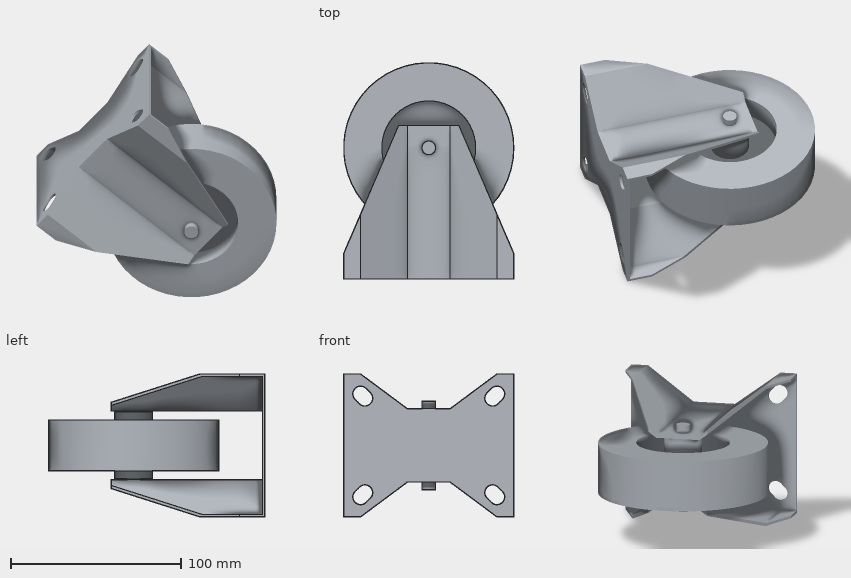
import cadquery as cq
import math

overall_length = 127.0
wheel_radius = 100.0 / 2
axle_to_plate = overall_length - wheel_radius

tread_width = 30.0
recess_radius = 27.5
web_thickness = 3.0
hub_radius = 22.4 / 2
hub_length = 39.4
axle_radius = 8.0 / 2
axle_length = 52.1

half_width = wheel_radius
half_height = 84.0 / 2
sheet_thickness = 1.5
arm_half_height = 21.6
inner_bend_x = 12.6
outer_bend_x = 40.0
arm_tip_y = 13.2
arm_tip_half_width = 17.7
ear_length = 15.0

slot_x = 38.7
slot_z = 29.0
slot_width = 9.0
slot_length = 12.6
slot_angle = 45

plate_y = -axle_to_plate


def cylinder(radius, length):
    """Cylinder about Z, centred on the origin."""
    return cq.Workplane("XY").workplane(offset=-length / 2).circle(radius).extrude(length)


def make_wheel():
    """Wheel with a recess on each side, a long hub and a fixed axle."""
    rim = cylinder(wheel_radius, tread_width).cut(cylinder(recess_radius, tread_width))
    web = cylinder(recess_radius, web_thickness)
    hub = cylinder(hub_radius, hub_length)
    axle = cylinder(axle_radius, axle_length)
    return rim.union(web).union(hub).union(axle)


def sheet_outline(ear_z, arm_z, bend_shift):
    """Bent line of the upper arm across X, with both bends moved outward by bend_shift."""
    inner_x = inner_bend_x + bend_shift
    outer_x = outer_bend_x + bend_shift
    return [
        (-half_width, ear_z),
        (-outer_x, ear_z),
        (-inner_x, arm_z),
        (inner_x, arm_z),
        (outer_x, ear_z),
        (half_width, ear_z),
    ]


def make_arm():
    """Upper arm: a bent sheet section run along Y and trimmed to a taper."""
    slope_angle = math.atan2(half_height - arm_half_height, outer_bend_x - inner_bend_x)
    bend_shift = sheet_thickness * math.tan(slope_angle / 2)
    outer_line = sheet_outline(half_height, arm_half_height, 0)
    inner_line = sheet_outline(
        half_height - sheet_thickness, arm_half_height - sheet_thickness, bend_shift
    )
    section = (
        cq.Workplane("XZ", origin=(0, plate_y, 0))
        .polyline(outer_line + inner_line[::-1])
        .close()
        .extrude(-(axle_to_plate + arm_tip_y))
    )
    taper = (
        cq.Workplane("XY")
        .polyline([
            (-half_width, plate_y),
            (half_width, plate_y),
            (half_width, plate_y + ear_length),
            (arm_tip_half_width, arm_tip_y),
            (-arm_tip_half_width, arm_tip_y),
            (-half_width, plate_y + ear_length),
        ])
        .close()
        .extrude(half_height)
    )
    return section.intersect(taper)


def make_plate():
    """Mounting plate whose waist follows the bends of the arms."""
    upper_outline = sheet_outline(half_height, arm_half_height, 0)
    lower_outline = [(x, -z) for x, z in reversed(upper_outline)]
    return (
        cq.Workplane("XZ", origin=(0, plate_y, 0))
        .polyline(upper_outline + lower_outline)
        .close()
        .extrude(-sheet_thickness)
    )


def make_slots():
    """Cutters for the four slots, one in each corner of the plate."""
    slots = cq.Workplane("XZ", origin=(0, plate_y, 0))
    for x_side in (-1, 1):
        for z_side in (-1, 1):
            slots = slots.add(
                cq.Workplane("XZ", origin=(0, plate_y, 0))
                .center(x_side * slot_x, z_side * slot_z)
                .slot2D(slot_length, slot_width, x_side * z_side * slot_angle)
                .extrude(-sheet_thickness)
            )
    return slots.combine()


def make_bracket():
    """Plate and two mirrored arms, with slots and axle holes."""
    upper_arm = make_arm()
    lower_arm = upper_arm.mirror("XY")
    bracket = make_plate().union(upper_arm).union(lower_arm)
    return bracket.cut(make_slots()).cut(cylinder(axle_radius, axle_length))


wheel = make_wheel()
bracket = make_bracket()

result = cq.Compound.makeCompound([wheel.val(), bracket.val()])